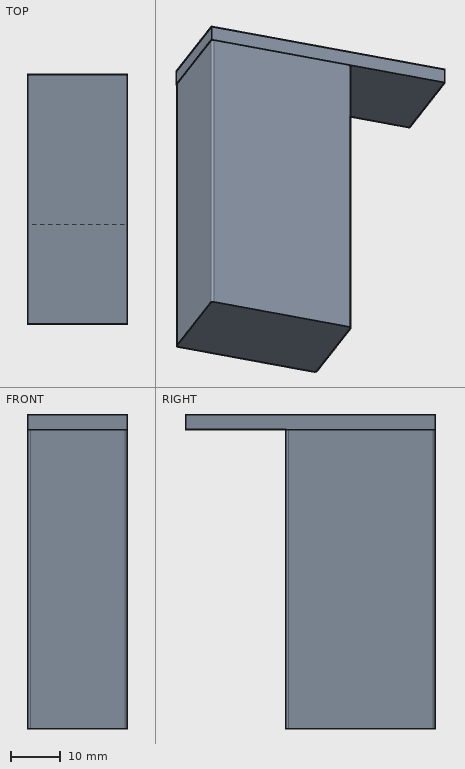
import cadquery as cq

total_height = 63.0
width = 20.0
plate_length = 50.0
plate_thickness = 3.0
post_depth = 30.0
post_corner_radius = 0.5

post_height = total_height - plate_thickness


def make_post():
    """Upright block with rounded vertical edges, standing on Z = 0 and centred on X and Y."""
    block = cq.Workplane("XY").box(width, post_depth, post_height, centered=(True, True, False))
    return block.edges("|Z").fillet(post_corner_radius)


def make_plate():
    """Flat plate on top of the post, flush at the back (+Y) and overhanging the front (-Y)."""
    plate_center_y = (post_depth - plate_length) / 2
    return (
        cq.Workplane("XY", origin=(0, plate_center_y, post_height))
        .box(width, plate_length, plate_thickness, centered=(True, True, False))
    )


post = make_post()
plate = make_plate()

result = cq.Compound.makeCompound([post.val(), plate.val()])